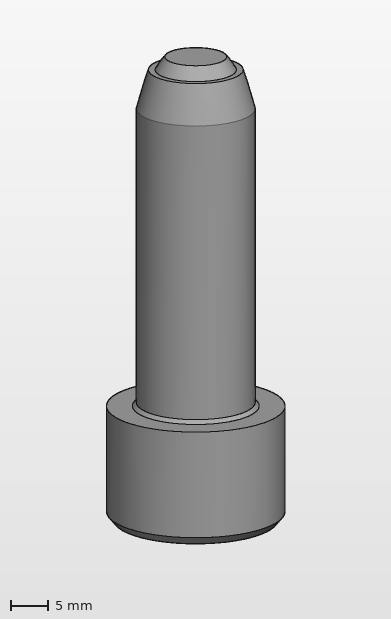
import cadquery as cq

total_length = 65.0
head_diameter = 24.0
shank_diameter = 16.0

head_height = 16.0
head_chamfer_height = 1.2
head_chamfer_width = 1.0

collar_size = 0.5

taper_height = 5.45
taper_top_radius = 6.4
taper_bulge = 0.05
tip_height = 1.8
tip_base_radius = 5.45
tip_top_radius = 4.15
tip_bulge = 0.1

head_radius = head_diameter / 2
shank_radius = shank_diameter / 2
tip_base_z = total_length - tip_height
taper_base_z = tip_base_z - taper_height


def bulged_middle(base, top, bulge):
    """Middle of a shallow arc that stands outside its straight cone by the bulge."""
    return (
        (base[0] + top[0]) / 2 + bulge,
        (base[1] + top[1]) / 2,
    )


taper_base = (shank_radius, taper_base_z)
taper_top = (taper_top_radius, tip_base_z)
tip_base = (tip_base_radius, tip_base_z)
tip_top = (tip_top_radius, total_length)

profile = (
    cq.Workplane("XZ")
    .moveTo(0, 0)
    .lineTo(head_radius - head_chamfer_width, 0)
    .lineTo(head_radius, head_chamfer_height)
    .lineTo(head_radius, head_height)
    .lineTo(shank_radius + collar_size, head_height)
    .lineTo(shank_radius, head_height + collar_size)
    .lineTo(*taper_base)
    .threePointArc(bulged_middle(taper_base, taper_top, taper_bulge), taper_top)
    .lineTo(*tip_base)
    .threePointArc(bulged_middle(tip_base, tip_top, tip_bulge), tip_top)
    .lineTo(0, total_length)
    .close()
)

result = profile.revolve(360, (0, 0, 0), (0, 1, 0))